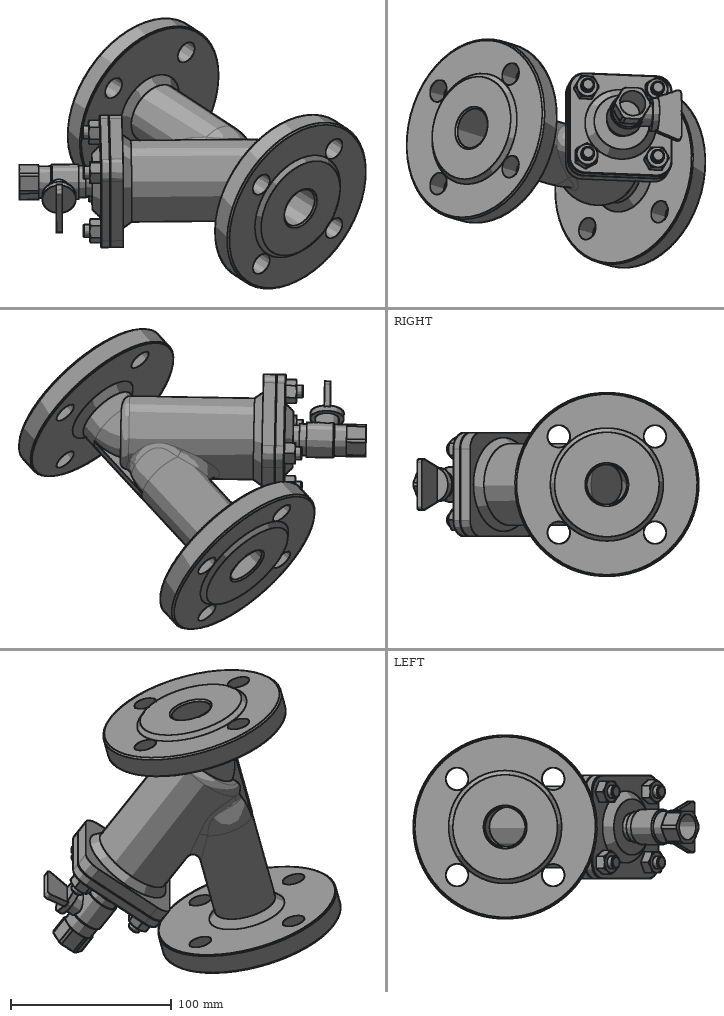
import cadquery as cq
import math

OVERALL_LENGTH = 178.5

FACE_TO_FACE = 160.0
PIPE_D = 39.0
BORE_D = 25.0
BORE_CHAMFER = 1.0
BEND_RADIUS = 20.0
INLET_BEND_X = 0.7
TAIL_LENGTH = 12.5
WEB_THICKNESS = 7.1

FLANGE_D = 115.0
FLANGE_THICKNESS = 13.4
FLANGE_FACE_CHAMFER = 1.0
FLANGE_BACK_CHAMFER = 0.7
RAISED_HEIGHT = 2.9
RAISED_BASE_D = 70.7
RAISED_FACE_D = 65.3
NECK_D = 48.5
NECK_LENGTH = (NECK_D - PIPE_D) / 2
FLANGE_HOLE_D = 14.0
FLANGE_HOLE_PITCH_D = 85.0
FLANGE_HOLE_COUNT = 4

BRANCH_X = 38.7
BRANCH_ANGLE = 50.0
BRANCH_D = 51.0
BRANCH_END = -4.3
BLEND_RADIUS = 5.0
COLLAR_START = 78.9
COLLAR_BASE_D = 58.5

JOINT_SIDE = 65.0
JOINT_CORNER_RADIUS = 10.0
JOINT_BACK = 84.2
JOINT_FACE = 92.1
JOINT_GAP = 0.5
COVER_FACE = 98.3
COVER_CHAMFER = 0.5
BOSS_BASE_D = 45.0
BOSS_HEIGHT = 5.0
BOSS_FACE_D = BOSS_BASE_D - 2 * BOSS_HEIGHT
BOLT_OFFSET = 22.1
STUD_D = 8.0
STUD_TIP_D = 6.6
STUD_END = 109.2
STUD_DEPTH = 5.4
NUT_FLATS = 13.0
NUT_HEIGHT = 6.8

SPIGOT_D = 18.0
RING_START = 107.3
RING_D = 20.0
VALVE_START = 111.7
VALVE_D = 22.0
VALVE_END = 129.2
VALVE_CHAMFER = 0.9
OUTLET_D = 20.0
HEX_START = 136.7
HEX_FLATS = 20.0
DRAIN_D = 16.0
STEM_POSITION = 124.2
STEM_D = 15.0
DISC_D = 21.0
DISC_START = 15.2
DISC_END = 19.1
LEVER_THICKNESS = 3.7
LEVER_START = 18.2
LEVER_END = 34.3
LEVER_BASE_WIDTH = 21.5
LEVER_TIP_WIDTH = 34.0
LEVER_CORNER_RADIUS = 2.1

LEAN = math.radians(BRANCH_ANGLE)
BRANCH_FRAME = cq.Plane(
    origin=(BRANCH_X, 0, 0),
    xDir=(math.sin(LEAN), -math.cos(LEAN), 0),
    normal=(-math.cos(LEAN), -math.sin(LEAN), 0),
)
BOLT_CENTRES = [(x, y) for x in (-BOLT_OFFSET, BOLT_OFFSET) for y in (-BOLT_OFFSET, BOLT_OFFSET)]

HEX_END = (OVERALL_LENGTH - FLANGE_D / 2 - VALVE_D / 2 * math.cos(LEAN)) / math.sin(LEAN)

OUTLET_BEND_X = BRANCH_X + BEND_RADIUS * math.tan(LEAN / 2)


def on_branch(body):
    """Move a body from branch coordinates to its place on the part."""
    return body.newObject([body.val().moved(cq.Location(BRANCH_FRAME))])


def cylinder(diameter, start, end):
    """Cylinder along local Z between two heights."""
    return cq.Workplane("XY", origin=(0, 0, start)).circle(diameter / 2).extrude(end - start)


def cone(start_d, end_d, start, end):
    """Cone frustum along local Z between two heights."""
    profile = [(0, start), (start_d / 2, start), (end_d / 2, end), (0, end)]
    return cq.Workplane("XZ").polyline(profile).close().revolve(360, (0, 0), (0, 1))


def elbow(diameter, start_x, turn, heading):
    """Elbow from the pipe axis towards -Y, with a straight tail into the branch."""
    bend = cq.Workplane("YZ", origin=(start_x, 0, 0)).circle(diameter / 2)
    bend = bend.revolve(turn, (-BEND_RADIUS, 0), (-BEND_RADIUS, -heading))
    angle = math.radians(turn)
    tail_start = (
        start_x + heading * BEND_RADIUS * math.sin(angle),
        -BEND_RADIUS * (1 - math.cos(angle)),
        0,
    )
    tail_frame = cq.Plane(
        origin=tail_start,
        xDir=(0, 0, 1),
        normal=(heading * math.cos(angle), -math.sin(angle), 0),
    )
    tail = cq.Workplane(tail_frame).circle(diameter / 2).extrude(TAIL_LENGTH)
    return bend.union(tail)


def pipe_run(diameter):
    """Inlet and outlet bars of the given diameter, each a straight pipe with its elbow."""
    half = FACE_TO_FACE / 2
    inlet = cq.Workplane("YZ", origin=(-half, 0, 0)).circle(diameter / 2).extrude(half + INLET_BEND_X)
    outlet = cq.Workplane("YZ", origin=(half, 0, 0)).circle(diameter / 2).extrude(OUTLET_BEND_X - half)
    inlet = inlet.union(elbow(diameter, INLET_BEND_X, 90 - BRANCH_ANGLE, 1))
    outlet = outlet.union(elbow(diameter, OUTLET_BEND_X, BRANCH_ANGLE, -1))
    return inlet, outlet


def elbow_web():
    """Flat plate behind the elbows, flush with the back of the pipe."""
    length = OUTLET_BEND_X - INLET_BEND_X
    return (
        cq.Workplane("XY", origin=(INLET_BEND_X, 0, -WEB_THICKNESS / 2))
        .rect(length, PIPE_D / 2, centered=False)
        .extrude(WEB_THICKNESS)
    )


def pipe_flange(side):
    """Flange with welding neck and raised face; side is -1 for the inlet, 1 for the outlet."""
    flange_face = FACE_TO_FACE / 2 - RAISED_HEIGHT
    flange_back = flange_face - FLANGE_THICKNESS
    body = cylinder(FLANGE_D, flange_back, flange_face)
    body = body.faces(">Z").chamfer(FLANGE_FACE_CHAMFER).faces("<Z").chamfer(FLANGE_BACK_CHAMFER)
    body = (
        body.faces(">Z").workplane()
        .polarArray(FLANGE_HOLE_PITCH_D / 2, 45, 360, FLANGE_HOLE_COUNT)
        .hole(FLANGE_HOLE_D)
    )
    body = body.union(cone(RAISED_BASE_D, RAISED_FACE_D, flange_face, FACE_TO_FACE / 2))
    body = body.union(cone(PIPE_D, NECK_D, flange_back - NECK_LENGTH, flange_back))
    return body.rotate((0, 0, 0), (0, 1, 0), side * 90)


def bore_mouth(side):
    """Chamfer at the open end of a bore."""
    half = FACE_TO_FACE / 2
    mouth = cone(BORE_D, BORE_D + 2 * BORE_CHAMFER, half - BORE_CHAMFER, half)
    return mouth.rotate((0, 0, 0), (0, 1, 0), side * 90)


def joint_plate(start, end):
    """Square plate with rounded corners around the branch axis."""
    return (
        cq.Workplane("XY", origin=(0, 0, start))
        .rect(JOINT_SIDE, JOINT_SIDE)
        .extrude(end - start)
        .edges("|Z")
        .fillet(JOINT_CORNER_RADIUS)
    )


def branch_barrel():
    """Closed barrel of the branch, rounded at its inner end."""
    barrel = cylinder(BRANCH_D, BRANCH_END, JOINT_BACK)
    return on_branch(barrel.faces("<Z").edges().fillet(BLEND_RADIUS))


def drill_stud_holes(body, start, end):
    """Cut the four stud holes between two heights."""
    for x, y in BOLT_CENTRES:
        body = body.cut(cylinder(STUD_D, start, end).translate((x, y, 0)))
    return body


def branch_flange():
    """Square flange of the branch with its conical collar and stud holes."""
    flange = joint_plate(JOINT_BACK, JOINT_FACE)
    flange = flange.union(cone(BRANCH_D, COLLAR_BASE_D, COLLAR_START, JOINT_BACK))
    return on_branch(drill_stud_holes(flange, JOINT_FACE - STUD_DEPTH, JOINT_FACE))


def make_housing():
    """Branch barrel joined to both flanged pipes; the bores stop at the solid barrel."""
    inlet, outlet = pipe_run(PIPE_D)
    inlet_bore, outlet_bore = pipe_run(BORE_D)
    barrel = branch_barrel()
    body = barrel.union(inlet).edges("%BSPLINE").fillet(BLEND_RADIUS)
    body = body.union(outlet).union(elbow_web()).union(branch_flange())
    for side in (-1, 1):
        body = body.union(pipe_flange(side)).cut(bore_mouth(side))
    return body.cut(inlet_bore.cut(barrel)).cut(outlet_bore.cut(barrel))


def cover_plate():
    """Square cover with its sealing face, conical boss and stud holes."""
    plate_back = JOINT_FACE + JOINT_GAP
    plate = joint_plate(plate_back, COVER_FACE).faces(">Z").chamfer(COVER_CHAMFER)
    plate = plate.union(cylinder(BRANCH_D, JOINT_FACE, COVER_FACE))
    plate = plate.union(cone(BOSS_BASE_D, BOSS_FACE_D, COVER_FACE, COVER_FACE + BOSS_HEIGHT))
    return drill_stud_holes(plate, JOINT_FACE, COVER_FACE)


def drain_hex():
    """Outlet hexagon with its corners turned down to the valve diameter."""
    across_corners = HEX_FLATS / math.cos(math.pi / 6)
    hexagon = cq.Workplane("XY", origin=(0, 0, HEX_START)).polygon(6, across_corners)
    return hexagon.extrude(HEX_END - HEX_START).intersect(cylinder(VALVE_D, HEX_START, HEX_END))


def valve_handle():
    """Stem, disc and winged lever on the side of the valve."""
    side = cq.Workplane("YZ", origin=(0, 0, STEM_POSITION))
    stem = side.circle(STEM_D / 2).extrude(DISC_START)
    disc = side.workplane(offset=DISC_START).circle(DISC_D / 2).extrude(DISC_END - DISC_START)
    wing = [
        (LEVER_START, LEVER_BASE_WIDTH / 2),
        (LEVER_END, LEVER_TIP_WIDTH / 2),
        (LEVER_END, -LEVER_TIP_WIDTH / 2),
        (LEVER_START, -LEVER_BASE_WIDTH / 2),
    ]
    lever = (
        cq.Workplane("XY", origin=(0, 0, STEM_POSITION - LEVER_THICKNESS / 2))
        .polyline(wing).close().extrude(LEVER_THICKNESS)
        .edges("|Z and >X").fillet(LEVER_CORNER_RADIUS)
    )
    return stem.union(disc).union(lever)


def make_cover():
    """Cover plate with the drain valve; the drain bore ends at the stem axis."""
    body = cover_plate()
    body = body.union(cylinder(SPIGOT_D, COVER_FACE, RING_START))
    body = body.union(cylinder(RING_D, RING_START, VALVE_START))
    body = body.union(cylinder(VALVE_D, VALVE_START, VALVE_END).faces(">Z").chamfer(VALVE_CHAMFER))
    body = body.union(cylinder(OUTLET_D, VALVE_END, HEX_START))
    body = body.union(drain_hex()).union(valve_handle())
    body = body.cut(cylinder(DRAIN_D, STEM_POSITION, HEX_END))
    return on_branch(body)


def make_fastener(turn):
    """Stud with a chamfered nut, turned about the branch axis from one corner of the joint to another."""
    across_corners = NUT_FLATS / math.cos(math.pi / 6)
    chamfer = (across_corners - NUT_FLATS) / 2
    chamfer_height = chamfer * math.tan(math.pi / 6)
    nut_end = COVER_FACE + NUT_HEIGHT
    nut = cq.Workplane("XY", origin=(0, 0, COVER_FACE)).polygon(6, across_corners).extrude(NUT_HEIGHT)
    crown = cylinder(across_corners, COVER_FACE, nut_end).faces(">Z")
    nut = nut.intersect(crown.chamfer(chamfer_height, chamfer))
    tip = (STUD_D - STUD_TIP_D) / 2
    stud = cylinder(STUD_D, JOINT_FACE - STUD_DEPTH, STUD_END).faces(">Z").chamfer(tip)
    fastener = nut.union(stud).translate((-BOLT_OFFSET, BOLT_OFFSET, 0))
    return on_branch(fastener.rotate((0, 0, 0), (0, 0, 1), turn))


housing = make_housing()
cover = make_cover()
fasteners = [make_fastener(90 * corner).val() for corner in range(4)]
result = cq.Compound.makeCompound([housing.val(), cover.val(), *fasteners])